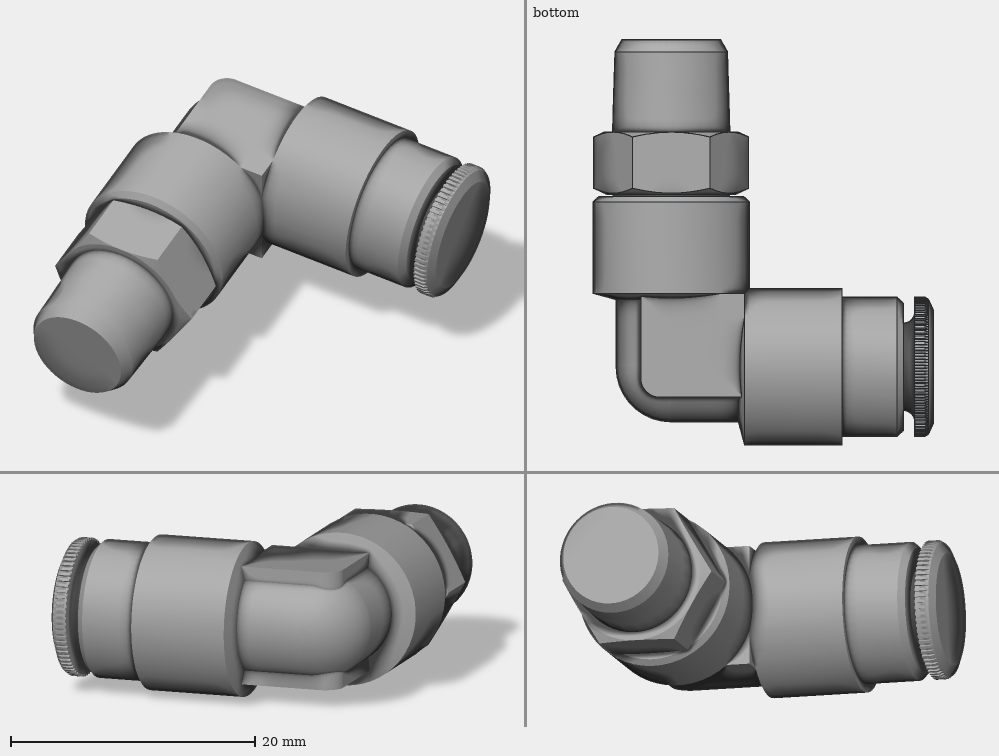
import cadquery as cq
import math


overall_length = 33.2

pipe_radius = 4.5
collar_radius = 6.4
collar_start = 6.0
collar_cone_angle = 15.0
collar_cone_length = (collar_radius - pipe_radius) * math.tan(math.radians(collar_cone_angle))
web_half_height = 4.95
web_outer_offset = 2.5
web_corner_radius = 1.53

tube_collar_end = 14.0
sleeve_radius = 5.7
sleeve_end = 19.02
sleeve_chamfer_length = 0.53
sleeve_chamfer_depth = 0.5
tube_leg_end = 21.48

button_radius = 5.7
button_start = 19.95
button_rim_end = 20.78
button_face_radius = 4.65
neck_radius = 3.6
neck_flare_radius = button_start - sleeve_end
knurl_count = 72
knurl_depth = 0.2
knurl_end = 21.08
knurl_floor_radius = button_radius - knurl_depth
knurl_pitch_angle = 360 / knurl_count

thread_leg_end = overall_length - collar_radius
swivel_collar_end = 13.95
swivel_chamfer_length = 0.43
swivel_chamfer_depth = 0.45
swivel_neck_radius = 4.78
hex_start = 14.1
hex_end = 19.22
hex_across_flats = 11.0
hex_across_corners = hex_across_flats * 2 / math.sqrt(3)
hex_back_radius = 5.25
hex_chamfer_angle = 25.0
thread_start_radius = 4.8
thread_end_radius = 4.6
thread_chamfer_length = 1.0
thread_tip_radius = 4.05


def revolve_about_x(outline):
    """Revolve a closed (station, radius) outline about the X axis."""
    return outline.close().revolve(360, (0, 0, 0), (1, 0, 0))


def make_leg_start():
    """Open outline of the pipe and the conical back of the collar."""
    return (
        cq.Workplane("XY")
        .lineTo(0, pipe_radius)
        .lineTo(collar_start - collar_cone_length, pipe_radius)
        .lineTo(collar_start, collar_radius)
    )


def make_tube_leg():
    flare_middle = neck_flare_radius * math.sqrt(0.5)
    outline = (
        make_leg_start()
        .lineTo(tube_collar_end, collar_radius)
        .lineTo(tube_collar_end, sleeve_radius)
        .lineTo(sleeve_end - sleeve_chamfer_length, sleeve_radius)
        .lineTo(sleeve_end, sleeve_radius - sleeve_chamfer_depth)
        .lineTo(sleeve_end, neck_radius)
        .threePointArc(
            (sleeve_end + flare_middle, neck_radius + neck_flare_radius - flare_middle),
            (button_start, neck_radius + neck_flare_radius),
        )
        .lineTo(button_start, button_radius)
        .lineTo(button_rim_end, button_radius)
        .lineTo(knurl_end, knurl_floor_radius)
        .lineTo(tube_leg_end, button_face_radius)
        .lineTo(tube_leg_end, 0)
    )
    return revolve_about_x(outline)


def make_knurl_grooves():
    """Grooves around the button rim, each half a pitch wide."""
    cutter_top_radius = button_radius + knurl_depth
    cutter = (
        cq.Workplane("XY")
        .moveTo(button_start, knurl_floor_radius)
        .lineTo(knurl_end, knurl_floor_radius)
        .lineTo(knurl_end, cutter_top_radius)
        .lineTo(button_start, cutter_top_radius)
        .close()
        .revolve(knurl_pitch_angle / 2, (0, 0, 0), (1, 0, 0))
    )
    grooves = cq.Workplane("XY")
    for index in range(knurl_count):
        angle = (index + 0.25) * knurl_pitch_angle
        grooves.add(cutter.rotate((0, 0, 0), (1, 0, 0), angle))
    return cq.Compound.makeCompound(grooves.vals())


def make_hex():
    """Hexagon with coned ends, the end beside the collar cut back further."""
    flat_radius = hex_across_flats / 2
    corner_radius = hex_across_corners / 2
    chamfer_slope = math.tan(math.radians(hex_chamfer_angle))
    back_chamfer_length = (corner_radius - hex_back_radius) * chamfer_slope
    front_chamfer_length = (corner_radius - flat_radius) * chamfer_slope
    prism = (
        cq.Workplane("YZ", origin=(hex_start, 0, 0))
        .polygon(6, hex_across_corners)
        .extrude(hex_end - hex_start)
    )
    envelope = revolve_about_x(
        cq.Workplane("XY")
        .moveTo(hex_start, 0)
        .lineTo(hex_start, hex_back_radius)
        .lineTo(hex_start + back_chamfer_length, corner_radius)
        .lineTo(hex_end - front_chamfer_length, corner_radius)
        .lineTo(hex_end, flat_radius)
        .lineTo(hex_end, 0)
    )
    return prism.intersect(envelope)


def make_thread_leg():
    outline = (
        make_leg_start()
        .lineTo(swivel_collar_end - swivel_chamfer_length, collar_radius)
        .lineTo(swivel_collar_end, collar_radius - swivel_chamfer_depth)
        .lineTo(swivel_collar_end, swivel_neck_radius)
        .lineTo(hex_end, swivel_neck_radius)
        .lineTo(hex_end, thread_start_radius)
        .lineTo(thread_leg_end - thread_chamfer_length, thread_end_radius)
        .lineTo(thread_leg_end, thread_tip_radius)
        .lineTo(thread_leg_end, 0)
    )
    leg = revolve_about_x(outline).union(make_hex())
    return leg.rotate((0, 0, 0), (0, 0, 1), -90)


def make_web():
    """Square block filling the bend, rounded at its outer corner."""
    side = collar_start + web_outer_offset
    centre = (collar_start - web_outer_offset) / 2
    return (
        cq.Workplane("XY")
        .box(side, side, 2 * web_half_height)
        .edges("|Z and <X and >Y")
        .fillet(web_corner_radius)
        .translate((centre, -centre, 0))
    )


bend = cq.Workplane("XY").sphere(pipe_radius)
tube_leg = make_tube_leg().cut(cq.Workplane(make_knurl_grooves()))
result = tube_leg.union(make_thread_leg()).union(bend).union(make_web())